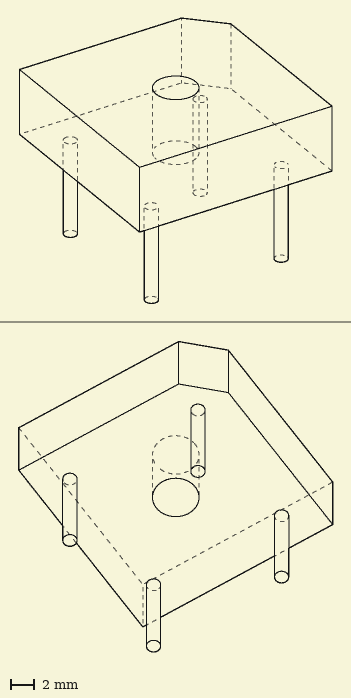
import cadquery as cq

side = 19.0
total_height = 15.4

body_height = 6.3
corner_cut = 3.0
hole_diameter = 3.9

lead_diameter = 1.2
lead_spacing = 12.8
lead_length = total_height - body_height


def make_body():
    """Block standing on Z = 0, with the (-X, +Y) corner cut off."""
    block = cq.Workplane("XY").box(side, side, body_height, centered=(True, True, False))
    block = block.edges("|Z and <X and >Y").chamfer(corner_cut)
    return block.faces(">Z").workplane(origin=(0, 0, body_height)).hole(hole_diameter)


def make_leads():
    """Round leads hanging down from the underside of the body."""
    return (
        cq.Workplane("XY")
        .rect(lead_spacing, lead_spacing, forConstruction=True)
        .vertices()
        .circle(lead_diameter / 2)
        .extrude(-lead_length)
    )


result = make_body().union(make_leads())